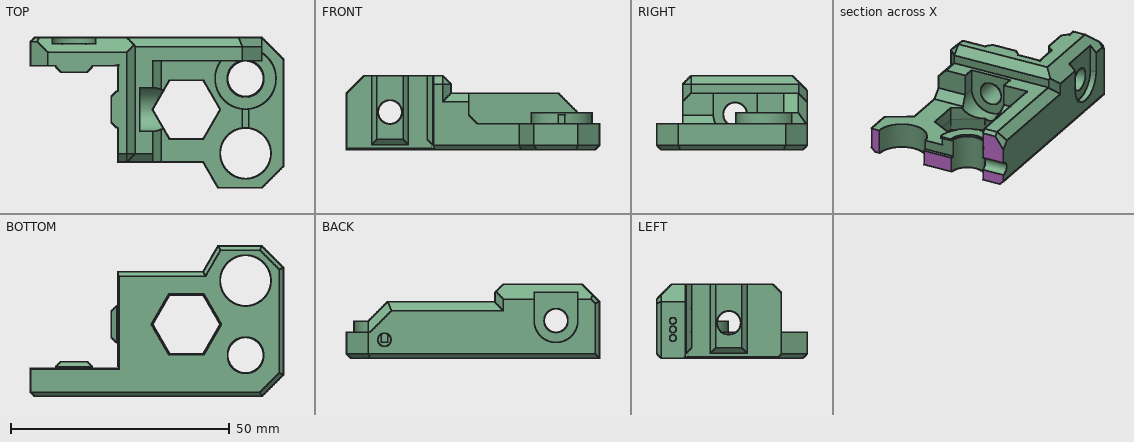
import cadquery as cq
import math

length = 58.0
depth = 34.5
height = 17.0

plate_thickness = 6.0
plate_corner = 5.0
plate_notch = 5.9
bulge_side_angle = 60.0
bulge_front_x = 43.0
bottom_chamfer = 1.0
inner_bottom_chamfer = 0.3

arm_thickness = 6.5
arm_back_chamfer = 3.4
arm_end_chamfer = 4.0
arm_corner_chamfer = 1.0
wall_x = 20.0
wall_thickness = 4.0
wall_chamfer = 2.0
relief_width = 0.6
relief_depth = 0.2

step_height = 13.0
step_end_x = 28.0
foot_chamfer = 2.0
rail_depth = 5.4
rail_chamfer = 2.1
rail_end_x = length - plate_corner
rail_end_drop = 4.45

rib_width = 8.45
rib_height = 1.5
rib_chamfer = 1.2
rib_bottom_z = 1.15
screw_diameter = 5.4
recess_diameter = 10.05
arm_rib_x = 10.0
arm_screw_z = 8.65
arm_recess_depth = 1.5
wall_rib_y = 18.0
wall_screw_z = 8.1
wall_recess_x = 25.05

rod_x = 49.3
large_hole_y = 7.95
large_hole_diameter = 11.6
bore_y = 25.05
bore_diameter = 8.2
bore_rim_diameter = 8.4
bore_rim_depth = 0.45
boss_diameter = 14.0
boss_top_z = 8.5
slot_width = 1.5
slot_bottom_z = 3.7
set_screw_diameter = 3.0
set_screw_z = 4.25

hex_x = 35.7
hex_across_flats = 13.4
hex_flare_angle = 5.0
hex_flare_height = 3.0

dimple_diameter = 1.5
dimple_depth = 0.3
dimple_y = 30.8
dimple_middle_z = 6.6
dimple_pitch = 2.0

pick_margin = 0.05

arm_front_y = depth - arm_thickness
wall_back_x = wall_x + wall_thickness
rail_front_y = depth - rail_depth
slot_top_z = boss_top_z - bore_rim_depth


def box(x0, x1, y0, y1, z0, z1):
    """Block between two opposite corners."""
    return cq.Workplane("XY").box(x1 - x0, y1 - y0, z1 - z0, centered=False).translate((x0, y0, z0))


def prism_along_x(points_yz, x0, x1):
    return cq.Workplane("YZ", origin=(x0, 0, 0)).polyline(points_yz).close().extrude(x1 - x0)


def prism_along_y(points_xz, y0, y1):
    return cq.Workplane("XZ", origin=(0, y0, 0)).polyline(points_xz).close().extrude(y0 - y1)


def cylinder_along_z(diameter, x, y, z0, z1):
    return cq.Workplane("XY", origin=(x, y, z0)).circle(diameter / 2).extrude(z1 - z0)


def cylinder_along_x(diameter, y, z, x0, x1):
    return cq.Workplane("YZ", origin=(x0, y, z)).circle(diameter / 2).extrude(x1 - x0)


def cylinder_along_y(diameter, x, z, y0, y1):
    return cq.Workplane("XZ", origin=(x, y0, z)).circle(diameter / 2).extrude(y0 - y1)


def footprint():
    """Plate and arm outline up to the plate thickness, with its lower edges chamfered."""
    bulge_run = plate_notch / math.tan(math.radians(bulge_side_angle))
    outline = [
        (0, arm_front_y),
        (wall_x, arm_front_y),
        (wall_x, plate_notch),
        (bulge_front_x - bulge_run, plate_notch),
        (bulge_front_x, 0),
        (length - plate_corner, 0),
        (length, plate_corner),
        (length, depth - plate_corner),
        (length - plate_corner, depth),
        (0, depth),
    ]
    body = cq.Workplane("XY").polyline(outline).close().extrude(plate_thickness)
    small_edges = cq.selectors.BoxSelector(
        (-0.6, plate_notch + pick_margin, -0.6), (wall_x + 0.6, arm_front_y + 0.6, 0.6)
    )
    body = body.faces("<Z").edges(small_edges).chamfer(inner_bottom_chamfer)
    past_small_edges_x = wall_x + inner_bottom_chamfer + pick_margin
    right_edges = cq.selectors.BoxSelector((past_small_edges_x, -0.6, -0.6), (length + 0.6, depth + 0.6, pick_margin))
    back_edge = cq.selectors.BoxSelector((0, depth - pick_margin, -0.6), (length, depth + 0.6, pick_margin))
    return body.edges(right_edges + back_edge).chamfer(bottom_chamfer)


def bevel_corner(edge, direction, size, top_z):
    """Triangle that bevels a top edge; direction (+1 or -1) points from the edge into the body."""
    return [(edge, top_z), (edge + direction * size, top_z), (edge, top_z - size)]


def arm_and_wall():
    """Tall L joined to the plate, with beveled top and upright edges."""
    arm = box(0, wall_back_x, arm_front_y, depth, plate_thickness, height)
    wall = box(wall_x, wall_back_x, plate_notch, depth, plate_thickness, height)
    body = arm.union(wall)
    wall_edges = body.faces(">X").edges("not <Z").add(body.faces("<Y").edges(">Z"))
    body = wall_edges.chamfer(wall_chamfer)
    back_bevel = prism_along_x(bevel_corner(depth, -1, arm_back_chamfer, height), 0, wall_back_x)
    end_bevel = prism_along_y(bevel_corner(0, 1, arm_end_chamfer, height), arm_front_y, depth)
    body = footprint().union(body).cut(end_bevel)
    tip_edges = cq.selectors.BoxSelector(
        (-0.6, depth - pick_margin, bottom_chamfer + pick_margin),
        (arm_end_chamfer - pick_margin, depth + pick_margin, height),
    )
    return body.edges(tip_edges).chamfer(arm_corner_chamfer).cut(back_bevel)


def step_and_rail():
    """Lower step behind the wall with its sloped foot, and the rail along the back edge."""
    step = box(wall_x, step_end_x, plate_notch, depth, plate_thickness, step_height)
    front_bevel = bevel_corner(plate_notch, 1, wall_chamfer, step_height)
    step = step.cut(prism_along_x(front_bevel, wall_x, step_end_x))
    foot_profile = [
        (step_end_x, plate_thickness),
        (step_end_x + foot_chamfer, plate_thickness),
        (step_end_x, plate_thickness + foot_chamfer),
    ]
    foot = prism_along_y(foot_profile, plate_notch, rail_front_y)
    slope_start_x = rail_end_x - rail_end_drop
    rail_profile = [
        (wall_x, plate_thickness),
        (rail_end_x, plate_thickness),
        (rail_end_x, step_height - rail_end_drop),
        (slope_start_x, step_height),
        (wall_x, step_height),
    ]
    rail = prism_along_y(rail_profile, rail_front_y, depth)
    upper_body = step.union(foot).union(rail)
    upper_edges = cq.selectors.BoxSelector(
        (wall_x - 0.6, depth - pick_margin, step_height - rail_end_drop + pick_margin),
        (rail_end_x + 0.6, depth + pick_margin, step_height + pick_margin),
    )
    return upper_body.edges(upper_edges).edges("not |Z").chamfer(rail_chamfer)


def rib(x, y, outward_angle):
    """Rib on an upright face, open at the top and beveled at its sides and lower end.

    It is built around the origin, growing toward -Y, then turned and placed on the face.
    """
    half_width = rib_width / 2
    body = box(-half_width, half_width, -rib_height, 0, rib_bottom_z, height)
    side_edges = body.faces("<Y").edges("not >Z")
    return (
        side_edges.chamfer(rib_chamfer)
        .rotate((0, 0, 0), (0, 0, 1), outward_angle)
        .translate((x, y, 0))
    )


def arm_cuts():
    """Screw hole, nut recess open at the top, and marking dimples of the arm."""
    screw = cylinder_along_y(screw_diameter, arm_rib_x, arm_screw_z, 0, depth)
    recess_front_y = depth - arm_recess_depth
    radius = recess_diameter / 2
    recess = cylinder_along_y(recess_diameter, arm_rib_x, arm_screw_z, recess_front_y, depth)
    recess = recess.union(
        box(arm_rib_x - radius, arm_rib_x + radius, recess_front_y, depth, arm_screw_z, height)
    )
    cuts = screw.union(recess)
    for row in (-1, 0, 1):
        dimple_z = dimple_middle_z + row * dimple_pitch
        cuts = cuts.union(cylinder_along_x(dimple_diameter, dimple_y, dimple_z, 0, dimple_depth))
    return cuts


def wall_cuts():
    """Screw hole of the wall and the nut recess, open at the top, that runs into the window."""
    screw = cylinder_along_x(screw_diameter, wall_rib_y, wall_screw_z, wall_x - rib_height, hex_x)
    radius = recess_diameter / 2
    recess = cylinder_along_x(recess_diameter, wall_rib_y, wall_screw_z, wall_recess_x, hex_x)
    recess = recess.union(
        box(wall_recess_x, hex_x, wall_rib_y - radius, wall_rib_y + radius, wall_screw_z, height)
    )
    return screw.union(recess)


def rod_cuts():
    """Large hole, bore with its wider rim, the slot between them and the set screw hole."""
    large_hole = cylinder_along_z(large_hole_diameter, rod_x, large_hole_y, 0, plate_thickness)
    bore = cylinder_along_z(bore_diameter, rod_x, bore_y, 0, boss_top_z)
    bore_rim = cylinder_along_z(bore_rim_diameter, rod_x, bore_y, slot_top_z, boss_top_z)
    half_slot = slot_width / 2
    slot = box(rod_x - half_slot, rod_x + half_slot, large_hole_y, bore_y, slot_bottom_z, slot_top_z)
    set_screw = cylinder_along_y(set_screw_diameter, rod_x, set_screw_z, bore_y, depth)
    return large_hole.union(bore).union(bore_rim).union(slot).union(set_screw)


def window():
    """Hexagonal window through the plate that flares toward the underside."""
    across_corners = hex_across_flats / math.cos(math.radians(30))
    middle = cq.Workplane("XY", origin=(hex_x, wall_rib_y, hex_flare_height))
    straight = middle.polygon(6, across_corners).extrude(plate_thickness - hex_flare_height)
    lower = cq.Workplane("XY", origin=(hex_x, wall_rib_y, hex_flare_height))
    flare = lower.polygon(6, across_corners).extrude(-hex_flare_height, taper=-hex_flare_angle)
    return straight.union(flare)


def inner_corner_relief():
    """Shallow V groove along the inner corner between arm and wall."""
    profile = [
        (wall_x - relief_width, arm_front_y),
        (wall_x + relief_depth, arm_front_y + relief_depth),
        (wall_x, arm_front_y - relief_width),
    ]
    return cq.Workplane("XY").polyline(profile).close().extrude(height)


boss = cylinder_along_z(boss_diameter, rod_x, bore_y, bottom_chamfer, boss_top_z)
solid = arm_and_wall().union(step_and_rail()).union(boss)
solid = solid.union(rib(arm_rib_x, arm_front_y, 0)).union(rib(wall_x, wall_rib_y, -90))
result = solid.cut(arm_cuts()).cut(wall_cuts()).cut(rod_cuts()).cut(window()).cut(inner_corner_relief())